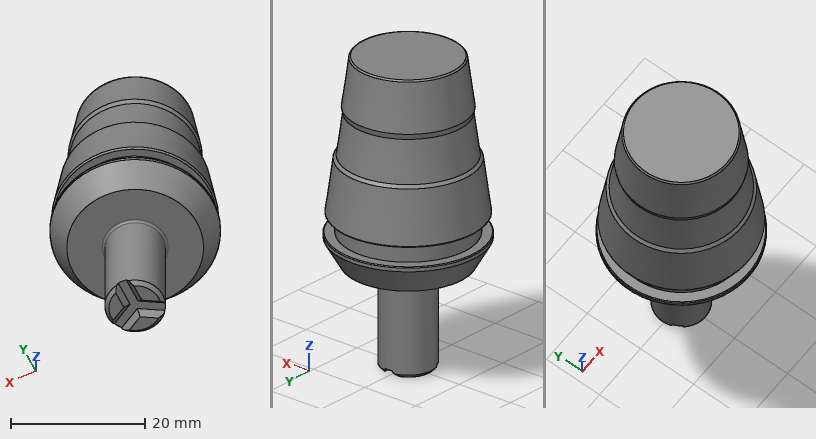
import cadquery as cq

total_height = 51.05
flange_bottom = 17.05
flange_edge_bottom = 21.4
flange_top = 22.15
lower_cone_bottom = 25.15
lower_cone_top = 34.3
middle_cone_bottom = 34.8
middle_cone_top = 41.8
upper_cone_bottom = 42.75

stem_radius = 4.55
flange_bottom_radius = 10.2
flange_radius = 12.735
groove_radius = 11.0
lower_cone_radii = (12.45, 11.25)
middle_cone_radii = (10.75, 9.8)
upper_cone_radii = (10.0, 8.9)

edge_break = 0.25
flange_edge_break = 0.15
stem_chamfer = 0.6
neck_fillet = 0.35

notch_count = 3
first_notch_angle = 90.0
notch_depth = 0.95
notch_mouth_width = 2.95
notch_floor_width = 1.35


def make_body():
    """Revolve the stepped, tapered half profile around Z."""
    outline = [
        (0, 0),
        (stem_radius - stem_chamfer, 0),
        (stem_radius, stem_chamfer),
        (stem_radius, flange_bottom - neck_fillet),
    ]
    upper_outline = [
        (flange_bottom_radius, flange_bottom),
        (flange_radius, flange_edge_bottom),
        (flange_radius, flange_top - flange_edge_break),
        (flange_radius - flange_edge_break, flange_top),
        (groove_radius, flange_top),
        (groove_radius, lower_cone_bottom),
        (lower_cone_radii[0] - edge_break, lower_cone_bottom),
        (lower_cone_radii[0], lower_cone_bottom + edge_break),
        (lower_cone_radii[1], lower_cone_top),
        (middle_cone_radii[0], middle_cone_bottom),
        (middle_cone_radii[1], middle_cone_top),
        (upper_cone_radii[0], upper_cone_bottom),
        (upper_cone_radii[1], total_height - edge_break),
        (upper_cone_radii[1] - edge_break, total_height),
        (0, total_height),
    ]
    profile = cq.Workplane("XZ").polyline(outline)
    profile = profile.radiusArc((stem_radius + neck_fillet, flange_bottom), neck_fillet)
    for point in upper_outline:
        profile = profile.lineTo(*point)
    return profile.close().revolve(360, (0, 0, 0), (0, 1, 0))


def make_notch(angle):
    """Trapezoidal groove running from the axis out through the stem wall."""
    section = [
        (-notch_mouth_width / 2, 0),
        (notch_mouth_width / 2, 0),
        (notch_floor_width / 2, notch_depth),
        (-notch_floor_width / 2, notch_depth),
    ]
    groove = cq.Workplane("YZ").polyline(section).close().extrude(2 * stem_radius)
    return groove.rotate((0, 0, 0), (0, 0, 1), angle)


result = make_body()
for index in range(notch_count):
    result = result.cut(make_notch(first_notch_angle + index * 360 / notch_count))